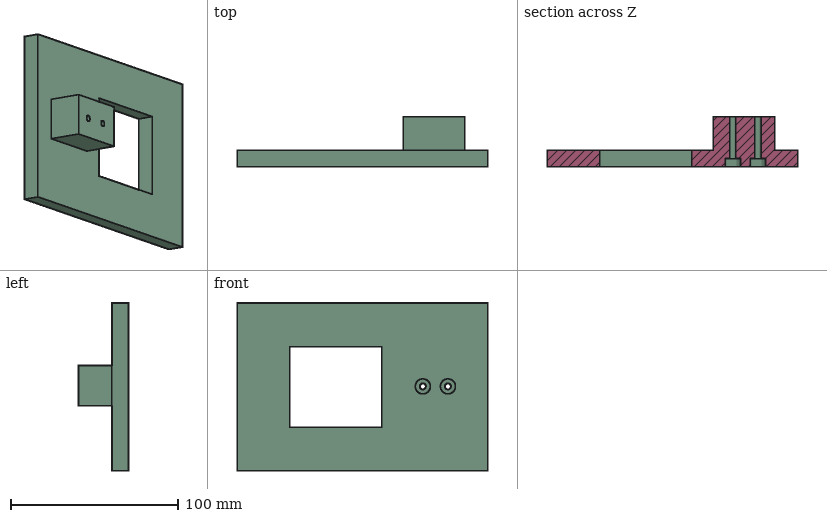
import cadquery as cq

plate_width = 150.0
plate_thickness = 10.0
plate_height = 100.47

window_width = 55.0
window_height = 48.0
window_left = 31.5
window_bottom = 26.05

block_width = 37.0
block_depth = 20.0
block_height = 24.3
block_left = 99.25
block_bottom = 38.75

hole_count = 2
hole_diameter = 3.5
hole_spacing = 15.0
first_hole_x = 111.1
hole_drop_from_top = 50.0
hole_z = plate_height - hole_drop_from_top
hole_depth = plate_thickness + block_depth
counterbore_diameter = 9.0
counterbore_depth = 5.0


def box_from_corner(width, depth, height, corner):
    """Box whose left, front, bottom corner sits at the given point."""
    return cq.Workplane("XY").box(width, depth, height, centered=False).translate(corner)


def cylinder_from_front(diameter, depth, x, z):
    """Cylinder running along +Y from the front face of the plate."""
    return cq.Workplane("XZ", origin=(x, 0, z)).circle(diameter / 2).extrude(-depth)


def counterbored_hole(x, z):
    """Cutting tool for one through hole with its counterbore at the front."""
    through_hole = cylinder_from_front(hole_diameter, hole_depth, x, z)
    counterbore = cylinder_from_front(counterbore_diameter, counterbore_depth, x, z)
    return through_hole.union(counterbore)


plate = box_from_corner(plate_width, plate_thickness, plate_height, (0, 0, 0))
window = box_from_corner(
    window_width, plate_thickness, window_height, (window_left, 0, window_bottom)
)
block = box_from_corner(
    block_width, block_depth, block_height, (block_left, plate_thickness, block_bottom)
)

result = plate.cut(window).union(block)
for hole_index in range(hole_count):
    hole_x = first_hole_x + hole_index * hole_spacing
    result = result.cut(counterbored_hole(hole_x, hole_z))